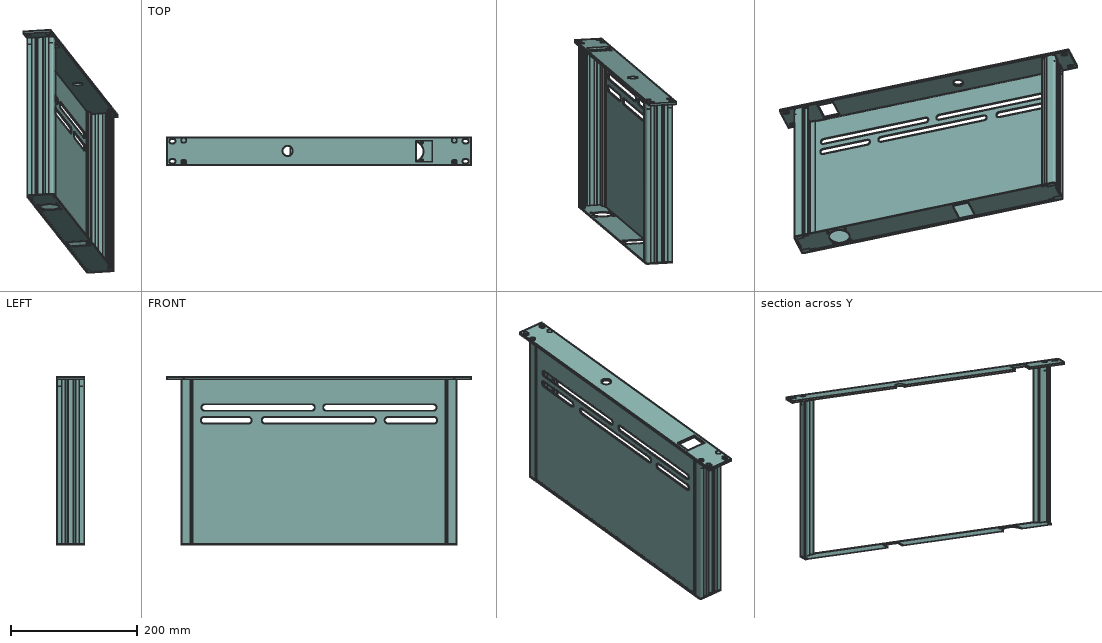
import cadquery as cq

face_width = 482.5
depth = 44.0
height = 266.0
top_z = height / 2

face_thickness = 4.0
face_under_z = top_z - face_thickness
rack_slot_length = 9.5
rack_slot_height = 6.8
rack_slot_x = 232.5
rack_slot_y = 16.0
window_width = 26.0
window_depth = 34.0
window_x = 167.0
round_hole_diameter = 16.0
round_hole_x = -49.5
round_hole_y = 0.5

body_width = 436.5
body_depth = 43.5
body_shift_y = (body_depth - depth) / 2
corner_radius = 3.15
base_thickness = 1.5
base_top_z = base_thickness - height / 2
fan_diameter = 33.0
fan_x = 149.0
fan_screw_diameter = 3.2
fan_screw_pitch = 29.0
cutout_right_x = -46.0

rail_height = face_under_z - base_top_z
wall = 1.5
outer_lip_x = 200.5
inner_lip_x = 195.5
lip_chamfer = 1.5
groove_end_x = 204.0
panel_thickness = 2.0
boss_half_gap = 14.0
pad_half_width = 8.0
channel_mouth_half = 5.5
channel_floor_half = 4.0
rail_outer_x = body_width / 2
lip_inner_y = body_depth / 2 - wall
groove_inner_y = lip_inner_y - panel_thickness
flange_inner_y = groove_inner_y - wall

vent_height = 10.0
upper_vent_z = 84.5
lower_vent_z = 64.0
upper_vents = [(-186.5, -6.8), (6.8, 186.5)]
lower_vents = [(-187.3, -107.0), (-90.5, 90.2), (104.2, 187.3)]

screw_x = 215.0
screw_y = 17.5
head_diameter = 8.0
shank_diameter = 4.2
screw_length = 14.5
front_screw_recess = 1.0
socket_diameter = 2.45
socket_depth = 1.5


def block(x_min, x_max, y_min, y_max, z_min, z_max):
    """Box between the given limits."""
    size = (x_max - x_min, y_max - y_min, z_max - z_min)
    return cq.Workplane("XY").box(*size, centered=False).translate((x_min, y_min, z_min))


def cylinder(diameter, x, y, z_min, z_max):
    """Vertical cylinder between two heights."""
    return cq.Workplane("XY", origin=(x, y, z_min)).circle(diameter / 2).extrude(z_max - z_min)


def screw_envelope(x, y):
    """Flush countersunk head and shank, as cut into the plate and rails."""
    head_radius = head_diameter / 2
    shank_radius = shank_diameter / 2
    head_depth = head_radius - shank_radius
    half_profile = (
        cq.Workplane("XZ")
        .polyline([
            (0, 0),
            (head_radius, 0),
            (shank_radius, -head_depth),
            (shank_radius, -screw_length),
            (0, -screw_length),
        ])
        .close()
    )
    return half_profile.revolve(360, (0, 0), (0, 1)).translate((x, y, top_z))


def make_screw(x, y):
    """Back screws are flush; front screws sit below the face and show a drive socket."""
    screw = screw_envelope(x, y)
    if y > 0:
        return screw
    head_z = top_z - front_screw_recess
    screw = screw.cut(cylinder(head_diameter, x, y, head_z, top_z))
    return screw.cut(cylinder(socket_diameter, x, y, head_z - socket_depth, head_z))


def make_face_plate():
    plate = block(-face_width / 2, face_width / 2, -depth / 2, depth / 2, face_under_z, top_z)
    rack_slots = (
        cq.Workplane("XY", origin=(0, 0, face_under_z))
        .rect(2 * rack_slot_x, 2 * rack_slot_y, forConstruction=True)
        .vertices()
        .slot2D(rack_slot_length, rack_slot_height)
        .extrude(face_thickness)
    )
    window = block(
        window_x - window_width / 2, window_x + window_width / 2,
        -window_depth / 2, window_depth / 2, face_under_z, top_z,
    )
    round_hole = cylinder(round_hole_diameter, round_hole_x, round_hole_y, face_under_z, top_z)
    plate = plate.cut(rack_slots).cut(window).cut(round_hole)
    for x, y in screw_places:
        plate = plate.cut(screw_envelope(x, y))
    return plate


def make_base_plate():
    bottom_z = -height / 2
    plate = block(-body_width / 2, body_width / 2, -body_depth / 2, body_depth / 2, bottom_z, base_top_z)
    plate = plate.edges("|Z").fillet(corner_radius)
    fan_holes = (
        cq.Workplane("XY", origin=(fan_x, 0, bottom_z))
        .rect(fan_screw_pitch, fan_screw_pitch, forConstruction=True)
        .vertices()
        .circle(fan_screw_diameter / 2)
        .extrude(base_thickness)
    )
    cutout = block(
        cutout_right_x - window_width, cutout_right_x,
        -window_depth / 2, window_depth / 2, bottom_z, base_top_z,
    )
    fan_opening = cylinder(fan_diameter, fan_x, 0, bottom_z, base_top_z)
    plate = plate.cut(fan_opening).cut(fan_holes).cut(cutout)
    return plate.translate((0, body_shift_y, 0))


def make_rail(side):
    """Rail profile drawn for the right side (+X) and mirrored for the left one."""
    z_limits = (base_top_z, face_under_z)
    rail = block(inner_lip_x, rail_outer_x, -body_depth / 2, body_depth / 2, *z_limits)
    rail = rail.edges("|Z and >X").fillet(corner_radius)

    rail = rail.cut(block(inner_lip_x, groove_end_x, -flange_inner_y, flange_inner_y, *z_limits))
    rail = rail.cut(block(groove_end_x, rail_outer_x - wall, -boss_half_gap, boss_half_gap, *z_limits))
    rail = rail.union(
        block(rail_outer_x - 2 * wall, rail_outer_x, -pad_half_width, pad_half_width, *z_limits)
    )

    for end in (-1, 1):
        groove = (
            cq.Workplane("XY", origin=(0, 0, base_top_z))
            .polyline([
                (inner_lip_x, end * groove_inner_y),
                (groove_end_x, end * groove_inner_y),
                (groove_end_x, end * lip_inner_y),
                (outer_lip_x, end * lip_inner_y),
                (outer_lip_x + lip_chamfer, end * body_depth / 2),
                (inner_lip_x, end * body_depth / 2),
            ])
            .close()
            .extrude(rail_height)
        )
        rail = rail.cut(groove)

    channel = (
        cq.Workplane("XY", origin=(0, 0, base_top_z))
        .polyline([
            (rail_outer_x, -channel_mouth_half),
            (rail_outer_x - wall, -channel_floor_half),
            (rail_outer_x - wall, channel_floor_half),
            (rail_outer_x, channel_mouth_half),
        ])
        .close()
        .extrude(rail_height)
    )
    rail = rail.cut(channel).translate((0, body_shift_y, 0))

    for y in (-screw_y, screw_y):
        rail = rail.cut(screw_envelope(screw_x, y))
    return rail if side > 0 else rail.mirror("YZ")


def make_front_panel():
    panel = block(
        -groove_end_x, groove_end_x, -lip_inner_y, panel_thickness - lip_inner_y,
        base_top_z, face_under_z,
    )
    for vents, vent_z in ((upper_vents, upper_vent_z), (lower_vents, lower_vent_z)):
        for left, right in vents:
            vent = (
                cq.Workplane("XZ", origin=((left + right) / 2, 0, vent_z))
                .slot2D(right - left, vent_height)
                .extrude(body_depth / 2)
            )
            panel = panel.cut(vent)
    return panel.translate((0, body_shift_y, 0))


screw_places = [(x, y) for x in (-screw_x, screw_x) for y in (-screw_y, screw_y)]

face_plate = make_face_plate()
base_plate = make_base_plate()
front_panel = make_front_panel()
rails = [make_rail(side) for side in (-1, 1)]
screws = [make_screw(x, y) for x, y in screw_places]

result = cq.Compound.makeCompound([
    face_plate.val(),
    base_plate.val(),
    front_panel.val(),
    *[rail.val() for rail in rails],
    *[screw.val() for screw in screws],
])